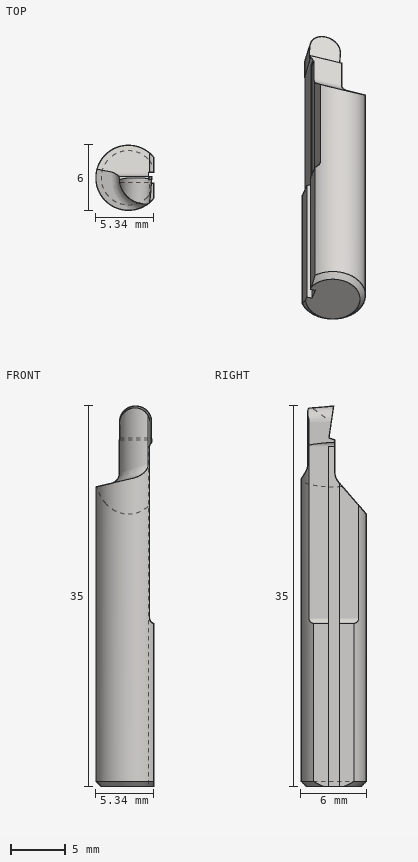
import cadquery as cq
import math


shank_radius = 3.0
total_length = 35.0
end_chamfer = 0.5
shank_flat_x = 2.34

clearance_flat_x = 1.95
clearance_start_z = 15.5
clearance_end_z = 31.25
runout_radius = 0.5

groove_width = 1.0
groove_floor_x = 1.85

tip_radius = 1.5
tip_center_x = 0.66
relief_angle = 4.8
rake_angle = 8.5
rake_depth = 0.44
rake_runout_angle = 18.0

neck_radius = 2.4
neck_center_x = 1.55
neck_back_y = 0.1
neck_fillet = 0.9

shoulder_left_z = 27.56
shoulder_angle = 13.0
slope_foot_z = 25.05
slope_angle = 49.0
slope_fillet = 1.5

reach = 2 * shank_radius

relief_slope = math.tan(math.radians(relief_angle))
tip_center_z = total_length - tip_radius


def relief_x(side, y):
    """X of the relieved tip flank at height y; side is -1 for left, +1 for right."""
    return tip_center_x + side * (tip_radius + relief_slope * y)


def flank_corner(side):
    """XY point where a tip flank meets the round of the neck, on the -Y side."""
    offset = relief_x(side, 0) - neck_center_x
    a = 1 + relief_slope**2
    half_b = offset * side * relief_slope
    c = offset**2 - neck_radius**2
    corner_y = (-half_b - math.sqrt(half_b**2 - a * c)) / a
    return relief_x(side, corner_y), corner_y


def make_shank_envelope():
    """Full-length round bar with the end chamfer and the long flat."""
    bar = cq.Workplane("XY").circle(shank_radius).extrude(total_length)
    bar = bar.faces("<Z").chamfer(end_chamfer)
    flat_cut = cq.Workplane("XY").box(reach, 2 * reach, total_length, centered=(False, True, False))
    return bar.cut(flat_cut.translate((shank_flat_x, 0, 0)))


def make_base_stock():
    """Oversize stock below the neck, its top rising gently towards +X."""
    rise_rate = math.tan(math.radians(shoulder_angle))

    def shoulder_point(x):
        return x, shoulder_left_z + (x + shank_radius) * rise_rate

    outline = [(-reach, 0), (reach, 0), shoulder_point(reach), shoulder_point(-reach)]
    return cq.Workplane("XZ").polyline(outline).close().extrude(reach, both=True)


def make_neck_stock():
    """Neck column with two relieved flanks and a round front."""
    return (
        cq.Workplane("XY")
        .moveTo(relief_x(-1, reach), reach)
        .lineTo(*flank_corner(-1))
        .threePointArc((neck_center_x, -neck_radius), flank_corner(1))
        .lineTo(relief_x(1, reach), reach)
        .close()
        .extrude(total_length)
    )


def make_filleted_body():
    """Base and neck in one piece, with the corner round the neck filleted."""
    body = make_base_stock().union(make_neck_stock())
    foot_edges = cq.selectors.BoxSelector(
        (-reach / 2, -reach / 2, shoulder_left_z - reach / 2),
        (reach / 2, reach / 2, shoulder_left_z + reach / 2),
    )
    return body.edges(foot_edges).edges("not |Z").fillet(neck_fillet)


def make_back_cutter():
    """Everything behind the neck: vertical back, fillet and slope down to the shank."""
    angle = math.radians(slope_angle)
    corner_z = slope_foot_z + (shank_radius - neck_back_y) * math.tan(angle)
    turn = math.pi / 2 - angle
    tangent = slope_fillet * math.tan(turn / 2)
    center = (neck_back_y + slope_fillet, corner_z + tangent)
    mid_angle = math.pi + turn / 2
    arc_mid = (
        center[0] + slope_fillet * math.cos(mid_angle),
        center[1] + slope_fillet * math.sin(mid_angle),
    )
    arc_end = (neck_back_y + tangent * math.cos(angle), corner_z - tangent * math.sin(angle))
    foot = (reach, slope_foot_z - (reach - shank_radius) * math.tan(angle))
    return (
        cq.Workplane("YZ")
        .moveTo(neck_back_y, total_length + reach)
        .lineTo(neck_back_y, center[1])
        .threePointArc(arc_mid, arc_end)
        .lineTo(*foot)
        .lineTo(reach, total_length + reach)
        .close()
        .extrude(reach, both=True)
    )


def make_tip_envelope():
    """Relieved half-round nose on top of an oversize block."""
    front_radius = tip_radius - relief_slope * reach
    back_radius = tip_radius + relief_slope * reach
    nose = cq.Workplane(
        cq.Solid.makeCone(
            back_radius,
            front_radius,
            2 * reach,
            pnt=cq.Vector(tip_center_x, reach, tip_center_z),
            dir=cq.Vector(0, -1, 0),
        )
    )
    block = cq.Workplane("XY").box(2 * reach, 2 * reach, tip_center_z, centered=(True, True, False))
    return block.union(nose)


def make_rake_cutter():
    """Tilted rake face that starts at the cutting edge and steps out at the neck back."""
    floor_z = total_length - rake_depth / math.tan(math.radians(rake_angle))
    step = reach * math.tan(math.radians(rake_runout_angle))
    outline = [
        (0, total_length),
        (-rake_depth, floor_z),
        (reach - rake_depth, floor_z - step),
        (reach, total_length + reach),
        (0, total_length + reach),
    ]
    return cq.Workplane("YZ").polyline(outline).close().extrude(reach, both=True)


def make_clearance_cutter():
    """Cutter for the +X clearance flat, curving out of the material at both ends."""
    depth = shank_flat_x - clearance_flat_x
    sweep = math.acos(1 - depth / runout_radius)

    def runout(flat_end_z, direction, angle):
        return (
            clearance_flat_x + runout_radius * (1 - math.cos(angle)),
            flat_end_z + direction * runout_radius * math.sin(angle),
        )

    top_exit = runout(clearance_end_z, 1, sweep)
    bottom_exit = runout(clearance_start_z, -1, sweep)
    return (
        cq.Workplane("XZ")
        .moveTo(*top_exit)
        .threePointArc(runout(clearance_end_z, 1, sweep / 2), (clearance_flat_x, clearance_end_z))
        .lineTo(clearance_flat_x, clearance_start_z)
        .threePointArc(runout(clearance_start_z, -1, sweep / 2), bottom_exit)
        .lineTo(reach, bottom_exit[1])
        .lineTo(reach, top_exit[1])
        .close()
        .extrude(reach, both=True)
    )


def make_groove_cutter():
    """Straight groove in the +X side."""
    cutter = cq.Workplane("XY").box(reach, groove_width, clearance_end_z, centered=(False, True, False))
    return cutter.translate((groove_floor_x, 0, 0))


body = make_filleted_body()
body = body.intersect(make_shank_envelope())
body = body.intersect(make_tip_envelope())
for cutter in (make_back_cutter(), make_rake_cutter(), make_clearance_cutter(), make_groove_cutter()):
    body = body.cut(cutter)
result = body